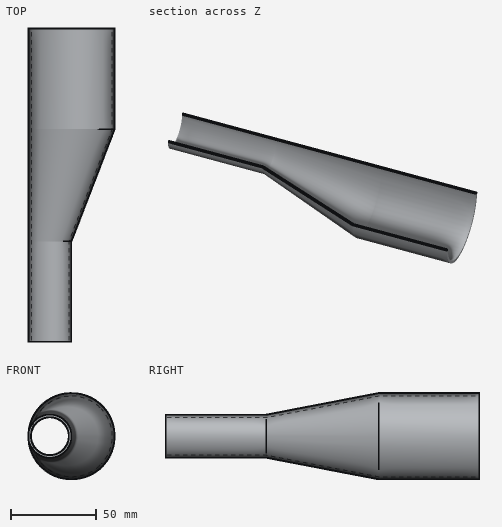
import cadquery as cq

LARGE_DIAMETER = 50.8
SMALL_DIAMETER = 25.4
WALL = 1.65
TOTAL_LENGTH = 184.2
TUBE_LENGTH = 59.1

CONE_LENGTH = TOTAL_LENGTH - 2 * TUBE_LENGTH
AXIS_OFFSET = (LARGE_DIAMETER - SMALL_DIAMETER) / 2

CONE_START = TUBE_LENGTH
CONE_END = TUBE_LENGTH + CONE_LENGTH


def section(y, x, diameter):
    """Circle in the XZ plane at station y, centred on x."""
    return cq.Workplane("XZ", origin=(x, y, 0)).circle(diameter / 2)


def tube_body(inset):
    """Solid reducer envelope with its surface moved inward by inset."""
    small_diameter = SMALL_DIAMETER - 2 * inset
    large_diameter = LARGE_DIAMETER - 2 * inset

    small_tube = section(0, -AXIS_OFFSET, small_diameter).extrude(-TUBE_LENGTH)
    large_tube = section(CONE_END, 0, large_diameter).extrude(-TUBE_LENGTH)
    cone = (
        section(CONE_START, -AXIS_OFFSET, small_diameter)
        .workplane(offset=-CONE_LENGTH)
        .center(AXIS_OFFSET, 0)
        .circle(large_diameter / 2)
        .loft(ruled=True)
    )
    return small_tube.union(cone).union(large_tube)


outer_body = tube_body(0)
bore = tube_body(WALL)
result = outer_body.cut(bore)